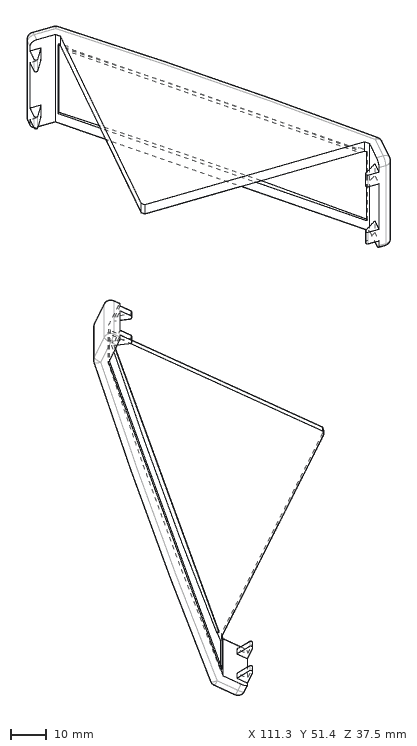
import cadquery as cq
import math

width = 111.3
depth = 51.4
height = 37.5
thickness = 4.0
edge_radius = thickness / 2
bow = 0.8
wing_end_y = -10.1

shelf_root_half = 46.8
shelf_tip_half = 0.6

recess_half = 47.4
recess_skin = 3.6
ledge_half = 44.8
ledge_height = 1.3

hook_height = 5.0
hook_inset = thickness
hook_tip_radius = 0.6
hook_tip_y = -12.6
hook_root_x = 51.3

wing_end_x = width / 2 - edge_radius
wall_back_y = -bow - thickness
embed_y = -bow - edge_radius
bend_back_x = wing_end_x + wing_end_y - wall_back_y
bend_front_x = bend_back_x + thickness * math.tan(math.radians(22.5))
end_offset = thickness * math.sqrt(0.5)
wing_outer_x = wing_end_x + end_offset
wing_outer_y = wing_end_y + end_offset


def make_wall():
    """Bowed wall with two wings and rounded outer edges."""
    wall = (
        cq.Workplane("XY")
        .moveTo(-bend_front_x, -bow)
        .threePointArc((0, 0), (bend_front_x, -bow))
        .lineTo(wing_outer_x, wing_outer_y)
        .lineTo(wing_end_x, wing_end_y)
        .lineTo(bend_back_x, wall_back_y)
        .lineTo(-bend_back_x, wall_back_y)
        .lineTo(-wing_end_x, wing_end_y)
        .lineTo(-wing_outer_x, wing_outer_y)
        .close()
        .extrude(height)
    )
    for x, y in ((bend_front_x, -bow), (wing_outer_x, wing_outer_y)):
        for side in (-1, 1):
            corner = cq.selectors.NearestToPointSelector((side * x, y, height / 2))
            wall = wall.edges(corner).fillet(edge_radius)
    for z in (0, height):
        crown = cq.selectors.NearestToPointSelector((0, 0, z))
        wall = wall.edges(crown).fillet(edge_radius)
    return wall


def make_recess():
    """Cutter whose floor follows the bow of the wall."""
    edge_y = -recess_skin - bow * (recess_half / bend_front_x) ** 2
    return (
        cq.Workplane("XY", origin=(0, 0, thickness))
        .moveTo(-recess_half, edge_y)
        .threePointArc((0, -recess_skin), (recess_half, edge_y))
        .lineTo(recess_half, wall_back_y - 1.1)
        .lineTo(-recess_half, wall_back_y - 1.1)
        .close()
        .extrude(height - 2 * thickness)
    )


def make_shelf():
    return (
        cq.Workplane("XY", origin=(0, 0, height - thickness))
        .moveTo(-shelf_root_half, embed_y)
        .lineTo(shelf_root_half, embed_y)
        .lineTo(shelf_root_half, wall_back_y)
        .lineTo(shelf_tip_half, -depth)
        .lineTo(-shelf_tip_half, -depth)
        .lineTo(-shelf_root_half, wall_back_y)
        .close()
        .extrude(thickness)
    )


def make_ledge():
    return cq.Workplane("XY").box(
        2 * ledge_half, embed_y - wall_back_y, ledge_height, centered=(True, False, False)
    ).translate((0, wall_back_y, height - thickness - ledge_height))


def make_hook(z):
    """Right-hand hook: its outer flank continues the wing end face."""
    center_y = hook_tip_y + hook_tip_radius
    center_x = wing_end_x - wing_end_y + center_y - hook_tip_radius * math.sqrt(2)
    flank = hook_tip_radius * math.sqrt(0.5)
    root_y = wing_end_y + wing_end_x - hook_root_x
    return (
        cq.Workplane("XY", origin=(0, 0, z))
        .moveTo(wing_end_x, wing_end_y)
        .lineTo(center_x + flank, center_y - flank)
        .threePointArc((center_x, hook_tip_y), (center_x - hook_tip_radius, center_y))
        .lineTo(hook_root_x, root_y)
        .lineTo(hook_root_x + flank, root_y + flank)
        .lineTo(wing_end_x, wing_end_y + 2 * flank)
        .close()
        .extrude(hook_height)
    )


result = make_wall().cut(make_recess()).union(make_shelf()).union(make_ledge())
for hook_z in (hook_inset, height - hook_inset - hook_height):
    hook = make_hook(hook_z)
    result = result.union(hook).union(hook.mirror("YZ"))